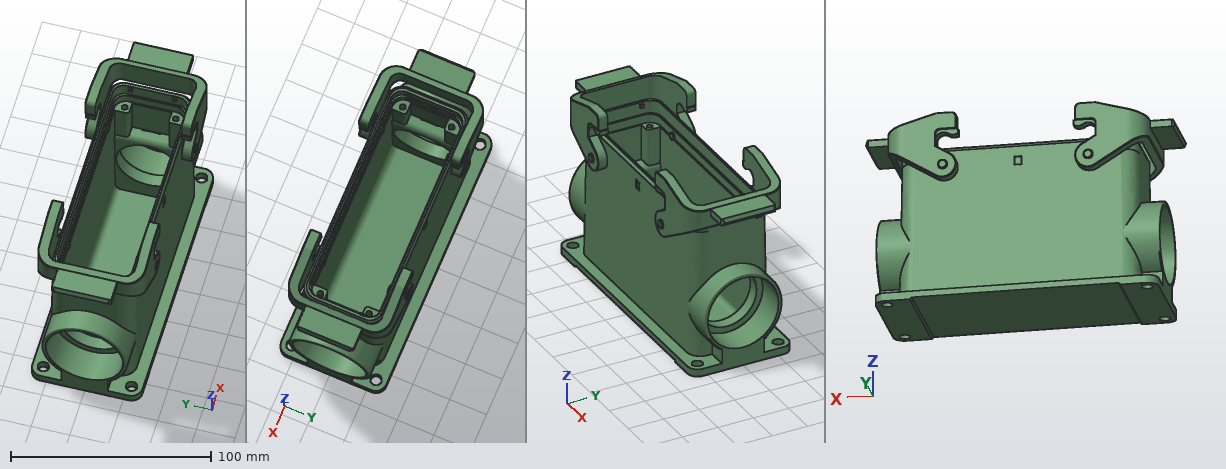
import cadquery as cq
import math

base_length = 143.9
base_width = 57.0
base_height = 4.2
base_corner = 5.7
foot_span = 105.1
foot_height = 1.0
mount_hole_dia = 5.7
mount_hole_x = 66.1
mount_hole_y = 22.8

shell_bottom = (122.8, 44.5)
shell_top = (120.3, 43.0)
shell_corner = 7.9
rim_start = 75.1
rim_top = 82.2
rim_chamfer_height = 1.7
rim_chamfer_width = 1.3

floor_height = 4.7
floor_size = (110.2, 34.0)
cavity_size = (111.1, 35.3)
gasket_size = (112.7, 36.5)
mouth_size = (114.6, 38.4)
gasket_ledge = 70.2
cavity_corner = 4.0
mouth_corner = 6.0
floor_fillet = 3.1

entry_height = 30.4
entry_outer_dia = 43.9
entry_counterbore_dia = 40.0
entry_bore_dia = 33.0
entry_step_x = 55.1
entry_lip = 0.5
saddle_width = 24.0
inner_block_x = 48.3
inner_block_top = 50.4

post_inner_x = 49.3
post_inner_y = 10.2
post_corner = 1.5
post_hole_dia = 3.0
post_hole_depth = 12.6
post_hole_x = 52.4
post_hole_y = 13.2
mark_width = 3.6
mark_height = 4.4
mark_depth = 1.0
lug_y = 11.3
lug_size = (1.1, 2.0, 1.5)
lug_top = 80.9
wall_overlap = 0.3
deep_overlap = 1.5

pivot_x = 37.0
pivot_z = 71.1
pivot_radius = 6.8
arm_outer_y = 27.7
arm_inner_y = 22.4
band_outer_x = 66.3
band_inner_x = 62.6
band_outer_corner = 9.3
band_inner_corner = 5.4
plan_start_x = 15.7
lever_top = 98.8
lever_slope_x = 40.5
band_top = 91.5
hook_tip_x = 30.2
hook_underside = 90.0
hook_tip_fillet = 2.5
slot_x = 40.6
slot_fillet = 2.4
arm_angle = 31.5
lever_edge = 0.3

catch_outer_y = 27.0
catch_tip_x = 29.5
catch_tip_bottom = 87.5
catch_low_point = (31.6, 86.9)
catch_wave_middle = (34.6, 87.8)
catch_high_point = (38.4, 88.1)
catch_root_bottom = 85.5

tab_end_x = 78.7
tab_width = 30.7
tab_bottom = 87.7
tab_edge_z = 89.2
tab_bevel = 1.1
tab_corner = 1.5

pin_dia = 4.0
pin_inner_y = 17.3
pin_head_dia = 4.7
pin_head_height = 0.8
pin_head_chamfer = 0.4
washer_dia = 7.0


def rounded_plate(size, corner, bottom, height):
    """Plate with rounded vertical corners, centred on the Z axis."""
    return (
        cq.Workplane("XY", origin=(0, 0, bottom))
        .rect(*size)
        .extrude(height)
        .edges("|Z")
        .fillet(corner)
    )


def drafted_block(bottom_size, top_size, corner, bottom, top):
    """Rounded block whose four walls lean evenly from bottom to top."""
    return (
        cq.Workplane("XY", origin=(0, 0, bottom))
        .rect(*bottom_size)
        .workplane(offset=top - bottom)
        .rect(*top_size)
        .loft(ruled=True)
        .edges("not #Z")
        .fillet(corner)
    )


def box_between(x_range, y_range, z_range):
    """Box given by its limits along each axis."""
    size = [high - low for low, high in (x_range, y_range, z_range)]
    corner = (x_range[0], y_range[0], z_range[0])
    return cq.Workplane("XY", origin=corner).box(*size, centered=False)


def cylinder_x(diameter, x_start, x_end):
    """Cylinder along X on the cable entry axis."""
    axis = cq.Workplane("YZ", origin=(x_start, 0, entry_height))
    return axis.circle(diameter / 2).extrude(x_end - x_start)


def cylinder_y(diameter, y_start, y_end):
    """Cylinder along Y on the pivot axis of the +X lever."""
    axis = cq.Workplane("XZ", origin=(pivot_x, y_start, pivot_z))
    return axis.circle(diameter / 2).extrude(y_start - y_end)


def both_ends(shape):
    """The shape together with its copy turned half a turn about Z."""
    return shape.union(shape.rotate((0, 0, 0), (0, 0, 1), 180))


def both_sides(shape):
    """The shape together with its mirror image across the XZ plane."""
    return shape.union(shape.mirror("XZ"))


def make_base():
    """Base plate, relieved underneath between its two feet."""
    plate = rounded_plate((base_length, base_width), base_corner, 0, base_height)
    relief = (
        cq.Workplane("XZ")
        .moveTo(-foot_span / 2 - foot_height, 0)
        .lineTo(foot_span / 2 + foot_height, 0)
        .lineTo(foot_span / 2, foot_height)
        .lineTo(-foot_span / 2, foot_height)
        .close()
        .extrude(base_width, both=True)
    )
    return plate.cut(relief)


def make_shell():
    """Drafted outer block with an upright, chamfered rim."""
    walls = drafted_block(shell_bottom, shell_top, shell_corner, base_height, rim_start)
    rim = rounded_plate(shell_top, shell_corner, rim_start, rim_top - rim_start)
    rim = rim.faces(">Z").chamfer(rim_chamfer_height, rim_chamfer_width)
    return walls.union(rim)


def make_cavity():
    """Stepped interior space, widening towards the mouth."""
    pocket = drafted_block(floor_size, cavity_size, cavity_corner, floor_height, gasket_ledge)
    pocket = pocket.faces("<Z").edges().fillet(floor_fillet)
    gasket = rounded_plate(gasket_size, mouth_corner, gasket_ledge, rim_start - gasket_ledge)
    mouth = rounded_plate(mouth_size, mouth_corner, rim_start, rim_top - rim_start)
    return pocket.union(gasket).union(mouth)


def make_entry():
    """Outer tube of the +X cable entry with the saddle that carries it."""
    tube = cylinder_x(entry_outer_dia, inner_block_x, base_length / 2)
    tube = tube.faces(">X").edges().fillet(entry_lip)
    saddle = box_between(
        (entry_step_x, base_length / 2),
        (-saddle_width / 2, saddle_width / 2),
        (0, entry_height),
    )
    return tube.union(saddle)


def make_entry_bore():
    """Stepped hole through the +X end wall."""
    bore = cylinder_x(entry_bore_dia, 0, base_length / 2)
    return bore.union(cylinder_x(entry_counterbore_dia, entry_step_x, base_length / 2))


def make_inner_block():
    """Thick lower part of the +X end wall around the bore."""
    half_width = cavity_size[1] / 2
    block = box_between(
        (inner_block_x, cavity_size[0] / 2 + deep_overlap),
        (-half_width, half_width),
        (floor_height, inner_block_top),
    )
    return block.edges(">Z and <X").fillet(floor_fillet)


def make_posts():
    """Two corner posts at the +X end, each with a blind screw hole."""
    post = box_between(
        (post_inner_x, cavity_size[0] / 2 + wall_overlap),
        (post_inner_y, cavity_size[1] / 2 + wall_overlap),
        (floor_height, gasket_ledge),
    )
    post = post.edges("|Z and <X and <Y").fillet(post_corner)
    hole = (
        cq.Workplane("XY", origin=(post_hole_x, post_hole_y, gasket_ledge))
        .circle(post_hole_dia / 2)
        .extrude(-post_hole_depth)
    )
    return both_sides(post.cut(hole))


def make_lugs():
    """Two small lugs inside the +X rim."""
    length, width, height = lug_size
    wall_x = mouth_size[0] / 2
    lug = box_between(
        (wall_x - length, wall_x + wall_overlap),
        (lug_y - width / 2, lug_y + width / 2),
        (lug_top - height, lug_top),
    )
    return both_sides(lug)


def make_centre_mark():
    """Shallow slot below the rim at the middle of the +Y wall."""
    wall_y = shell_top[1] / 2
    return box_between(
        (-mark_width / 2, mark_width / 2),
        (wall_y - mark_depth, wall_y + deep_overlap),
        (rim_start - mark_height, rim_start),
    )


def make_pivot_washers():
    """Round spacers between the long walls and the arms of the +X lever."""
    return both_sides(cylinder_y(washer_dia, shell_top[1] / 2 - deep_overlap, arm_inner_y))


def make_mount_holes():
    """Four screw holes through the base plate."""
    return (
        cq.Workplane("XY")
        .rect(2 * mount_hole_x, 2 * mount_hole_y, forConstruction=True)
        .vertices()
        .circle(mount_hole_dia / 2)
        .extrude(base_height)
    )


def make_housing():
    """Housing with base, shell, cable entries and interior details."""
    body = make_base().union(make_shell()).union(both_ends(make_entry()))
    body = body.union(both_ends(make_pivot_washers()))
    body = body.cut(make_cavity())
    body = body.union(both_ends(make_inner_block())).union(both_ends(make_posts()))
    body = body.union(both_ends(make_lugs()))
    body = body.cut(both_ends(make_entry_bore()))
    body = body.cut(both_sides(make_centre_mark()))
    pin_holes = both_ends(both_sides(cylinder_y(pin_dia, 0, arm_inner_y)))
    return body.cut(make_mount_holes()).cut(pin_holes)


def make_lever_profile():
    """Side outline of the lever, extruded across the full width."""
    angle = math.radians(arm_angle)
    normal = (-math.sin(angle) * pivot_radius, math.cos(angle) * pivot_radius)
    upper = (pivot_x + normal[0], pivot_z + normal[1])
    lower = (pivot_x - normal[0], pivot_z - normal[1])
    nose = (pivot_x - math.cos(angle) * pivot_radius, pivot_z - math.sin(angle) * pivot_radius)
    slot_z = upper[1] + (slot_x - upper[0]) * math.tan(angle)
    band_bottom = lower[1] + (band_outer_x - lower[0]) * math.tan(angle)
    profile = (
        cq.Workplane("XZ")
        .moveTo(band_outer_x, band_bottom)
        .lineTo(band_outer_x, band_top)
        .lineTo(lever_slope_x, lever_top)
        .lineTo(hook_tip_x, lever_top)
        .lineTo(hook_tip_x, hook_underside)
        .lineTo(slot_x, hook_underside)
        .lineTo(slot_x, slot_z)
        .lineTo(*upper)
        .threePointArc(nose, lower)
        .close()
        .extrude(arm_outer_y, both=True)
    )
    hook_tip = cq.selectors.NearestToPointSelector((hook_tip_x, 0, lever_top))
    profile = profile.edges(hook_tip).fillet(hook_tip_fillet)
    slot_corner = cq.selectors.NearestToPointSelector((slot_x, 0, hook_underside))
    return profile.edges(slot_corner).fillet(slot_fillet)


def make_lever_plan():
    """U-shaped plan of band and arms, extruded past the full lever height."""
    z_range = (0, lever_top + deep_overlap)
    outer = box_between((plan_start_x, band_outer_x), (-arm_outer_y, arm_outer_y), z_range)
    outer = outer.edges("|Z and >X").fillet(band_outer_corner)
    inner = box_between((plan_start_x, band_inner_x), (-arm_inner_y, arm_inner_y), z_range)
    inner = inner.edges("|Z and >X").fillet(band_inner_corner)
    return outer.cut(inner)


def make_catch():
    """Wavy catch under the +Y hook, set back from the outer face of the arm."""
    root_x = slot_x + deep_overlap
    root_top = hook_underside + deep_overlap
    return (
        cq.Workplane("XZ", origin=(0, arm_inner_y, 0))
        .moveTo(catch_tip_x, hook_underside)
        .lineTo(catch_tip_x, catch_tip_bottom)
        .threePointArc(catch_low_point, catch_wave_middle)
        .threePointArc(catch_high_point, (slot_x, catch_root_bottom))
        .lineTo(root_x, catch_root_bottom)
        .lineTo(root_x, root_top)
        .lineTo(hook_tip_x, root_top)
        .lineTo(hook_tip_x, hook_underside)
        .close()
        .extrude(arm_inner_y - catch_outer_y)
    )


def make_tab():
    """Finger tab with a bevelled outer edge."""
    bevel_x = tab_end_x - tab_bevel
    root_x = band_inner_x + deep_overlap
    tab = (
        cq.Workplane("XZ")
        .moveTo(root_x, tab_bottom)
        .lineTo(bevel_x, tab_bottom)
        .lineTo(tab_end_x, tab_edge_z)
        .lineTo(bevel_x, band_top)
        .lineTo(root_x, band_top)
        .close()
        .extrude(tab_width / 2, both=True)
    )
    outline = (
        cq.Workplane("XY")
        .rect(2 * tab_end_x, tab_width)
        .extrude(lever_top)
        .edges("|Z")
        .chamfer(tab_corner)
    )
    return tab.intersect(outline)


def make_pivot_pin():
    """Pin through the +Y wall, with a chamfered head outside the arm."""
    head_end = arm_outer_y + pin_head_height
    head = cylinder_y(pin_head_dia, arm_inner_y, head_end)
    head = head.faces(">Y").chamfer(pin_head_chamfer)
    return head.union(cylinder_y(pin_dia, pin_inner_y, arm_inner_y))


def make_lever():
    """Locking lever of the +X end with its finger tab and pivot pins."""
    lever = make_lever_plan().intersect(make_lever_profile())
    lever = lever.faces("<Y or >Y").edges().chamfer(lever_edge)
    lever = lever.union(both_sides(make_catch()))
    lever = lever.union(make_tab())
    return lever.union(both_sides(make_pivot_pin()))


housing = make_housing()
lever = make_lever()
levers = [lever.rotate((0, 0, 0), (0, 0, 1), angle) for angle in (0, 180)]

result = cq.Compound.makeCompound([housing.val(), *(copy.val() for copy in levers)])